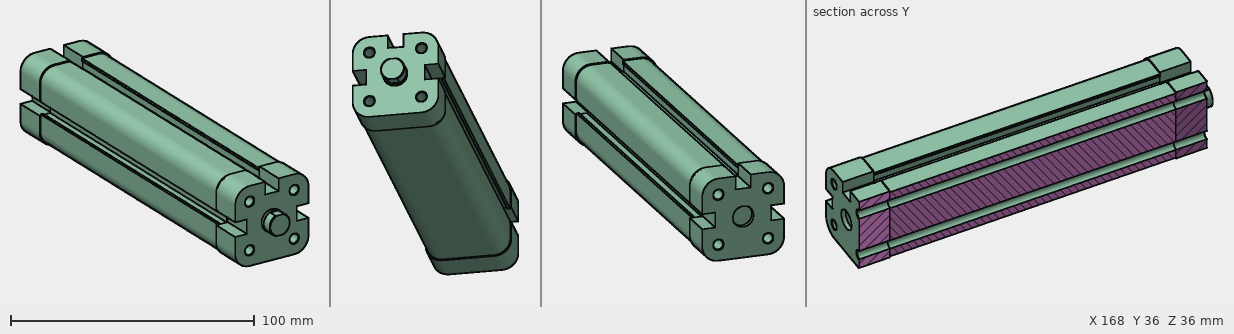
import cadquery as cq

total_length = 168.0
cap_length = 14.5
rod_projection = 6.0
cap_size = 36.0
tube_size = 35.0
rear_face_x = -total_length / 2
tip_x = total_length / 2
front_face_x = tip_x - rod_projection
tube_start_x = rear_face_x + cap_length
tube_end_x = front_face_x - cap_length

cap_corner_radius = 7.0
tube_corner_radius = cap_corner_radius - (cap_size - tube_size) / 2

slot_width = 6.5
cap_slot_floor = 12.3
tube_slot_floor = 12.8
lip_gap = 5.5
lip_thickness = 1.2
slot_angles = (0, 90, -90)

hole_spacing = 21.8
hole_diameter = 4.2
hole_mouth_chamfer = 0.25

recess_diameter = 9.0
recess_depth = 2.0

rod_diameter = 10.0
rod_end_diameter = 9.9
rod_end_length = 4.5
rod_flat_gap = 9.0
rod_flat_length = 4.2
rod_tip_chamfer = 0.25


def square_bar(start_x, end_x, size, corner_radius):
    """Square bar along X with rounded long edges."""
    bar = cq.Workplane("YZ", origin=(start_x, 0, 0)).rect(size, size).extrude(end_x - start_x)
    return bar.edges("|X").fillet(corner_radius)


def side_grooves(start_x, end_x, width, inner_z, outer_z):
    """Cutting bars along X, one for each slotted side."""
    centre = ((start_x + end_x) / 2, 0, (inner_z + outer_z) / 2)
    groove = cq.Workplane("XY").box(end_x - start_x, width, outer_z - inner_z).translate(centre)
    grooves = cq.Workplane("XY")
    for angle in slot_angles:
        grooves = grooves.add(groove.rotate((0, 0, 0), (1, 0, 0), angle))
    return grooves.combine()


def screw_holes(start_x, end_x):
    """Cutting cylinders along X at the four corners."""
    return (
        cq.Workplane("YZ", origin=(start_x, 0, 0))
        .rect(hole_spacing, hole_spacing, forConstruction=True)
        .vertices()
        .circle(hole_diameter / 2)
        .extrude(end_x - start_x)
    )


def round_bar(start_x, end_x, diameter):
    """Plain cylinder on the X axis."""
    return cq.Workplane("YZ", origin=(start_x, 0, 0)).circle(diameter / 2).extrude(end_x - start_x)


def make_cap(start_x, outer_face):
    """End cap with straight slots and screw holes chamfered at the given outer face."""
    end_x = start_x + cap_length
    cap = square_bar(start_x, end_x, cap_size, cap_corner_radius)
    cap = cap.cut(side_grooves(start_x, end_x, slot_width, cap_slot_floor, cap_size / 2))
    cap = cap.cut(screw_holes(start_x, end_x))
    smallest_circles = cq.selectors.RadiusNthSelector(0)
    return cap.faces(outer_face).edges("%CIRCLE").edges(smallest_circles).chamfer(hole_mouth_chamfer)


def make_rear_cap():
    """Cap with a blind centring recess in its outer face."""
    recess = round_bar(rear_face_x, rear_face_x + recess_depth, recess_diameter)
    return make_cap(rear_face_x, "<X").cut(recess)


def make_front_cap():
    """Cap bored through for the rod."""
    rod_bore = round_bar(tube_end_x, front_face_x, rod_diameter)
    return make_cap(tube_end_x, ">X").cut(rod_bore)


def make_tube():
    """Profile tube whose slots are narrowed at the mouth by lips."""
    lip_bottom = tube_size / 2 - lip_thickness
    tube = square_bar(tube_start_x, tube_end_x, tube_size, tube_corner_radius)
    tube = tube.cut(side_grooves(tube_start_x, tube_end_x, slot_width, tube_slot_floor, lip_bottom))
    tube = tube.cut(side_grooves(tube_start_x, tube_end_x, lip_gap, lip_bottom, tube_size / 2))
    return tube.cut(screw_holes(tube_start_x, tube_end_x))


def make_rod():
    """Rod through the front cap, with two wrench flats facing up and down."""
    shoulder_x = tip_x - rod_end_length
    rod_end = round_bar(shoulder_x, tip_x, rod_end_diameter).faces(">X").chamfer(rod_tip_chamfer)
    rod = round_bar(tube_end_x, shoulder_x, rod_diameter).union(rod_end)
    flat_depth = (rod_diameter - rod_flat_gap) / 2
    flat_offset = (rod_flat_gap + flat_depth) / 2
    flat_cutter = cq.Workplane("XY").box(rod_flat_length, rod_diameter, flat_depth)
    for side in (1, -1):
        rod = rod.cut(flat_cutter.translate((tip_x - rod_flat_length / 2, 0, side * flat_offset)))
    return rod


rear_cap = make_rear_cap()
tube = make_tube()
front_cap = make_front_cap()
rod = make_rod()

result = cq.Compound.makeCompound([rear_cap.val(), tube.val(), front_cap.val(), rod.val()])